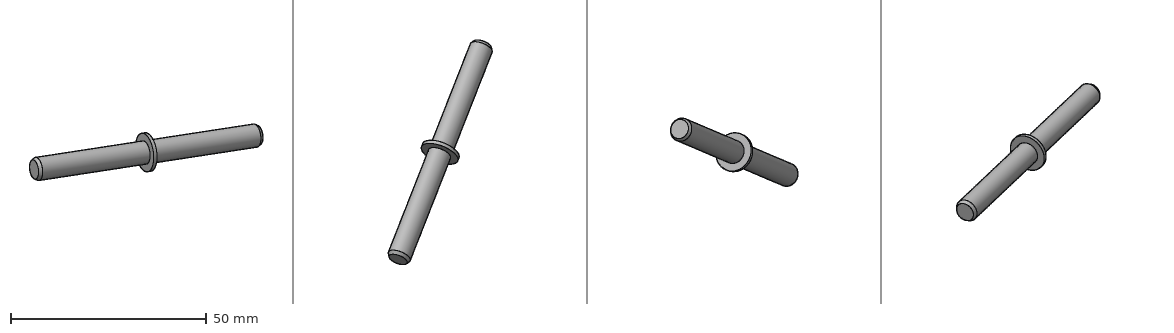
import cadquery as cq

length = 65.0
pin_diameter = 6.05
collar_diameter = 10.0
collar_thickness = 1.0
chamfer_length = 0.9
chamfer_depth = 0.5

pin_radius = pin_diameter / 2
tip_radius = pin_radius - chamfer_depth
half_length = length / 2
shoulder = half_length - chamfer_length

pin = (
    cq.Workplane("XY")
    .moveTo(0, -half_length)
    .lineTo(tip_radius, -half_length)
    .lineTo(pin_radius, -shoulder)
    .lineTo(pin_radius, shoulder)
    .lineTo(tip_radius, half_length)
    .lineTo(0, half_length)
    .close()
    .revolve(360, (0, 0, 0), (0, 1, 0))
)

collar = (
    cq.Workplane("XZ", origin=(0, collar_thickness / 2, 0))
    .circle(collar_diameter / 2)
    .extrude(collar_thickness)
)

result = pin.union(collar)